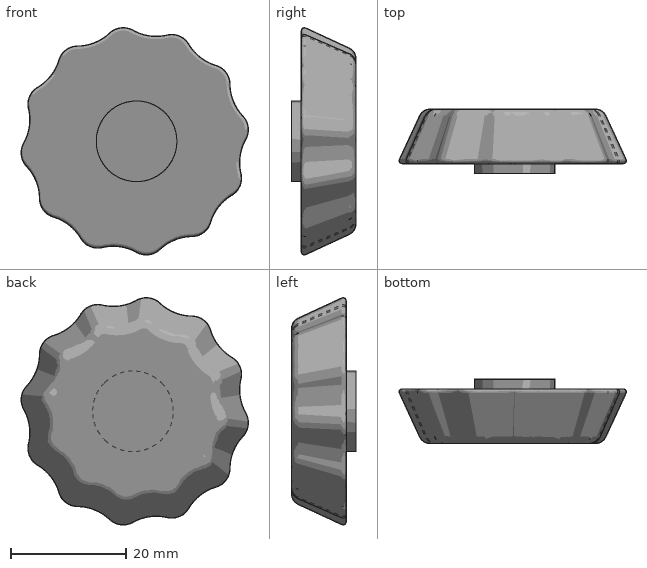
import cadquery as cq
import math

lobe_count = 12
first_lobe_angle = 7.0
tip_radius = 20.15
valley_radius = 18.75
flute_radius = 8.4
body_height = 9.5
taper_angle = 25.0
front_edge_radius = 0.55
back_edge_radius = 1.97
boss_diameter = 14.0
boss_height = 1.7
boss_offset = 0.3

half_pitch = math.pi / lobe_count
flute_center = valley_radius + flute_radius
flute_center_along_lobe = flute_center * math.cos(half_pitch)
lobe_radius = (
    tip_radius**2 + flute_center**2 - flute_radius**2 - 2 * tip_radius * flute_center_along_lobe
) / (2 * (tip_radius + flute_radius - flute_center_along_lobe))
lobe_center = tip_radius - lobe_radius

lobe_share = lobe_radius / (lobe_radius + flute_radius)
tangent_along = lobe_center + lobe_share * (flute_center_along_lobe - lobe_center)
tangent_across = lobe_share * flute_center * math.sin(half_pitch)
tangent_radius = math.hypot(tangent_along, tangent_across)
tangent_angle = math.atan2(tangent_across, tangent_along)

back_scale = 1 - body_height * math.tan(math.radians(taper_angle)) / tip_radius


def polar(radius, angle):
    return (radius * math.cos(angle), radius * math.sin(angle))


def fluted_outline(depth, scale):
    """Closed outline of alternating lobe and flute arcs at Y = depth."""
    start = math.radians(first_lobe_angle)
    outline = cq.Workplane("XZ", origin=(0, depth, 0))
    outline = outline.moveTo(*polar(scale * tangent_radius, start - tangent_angle))
    for index in range(lobe_count):
        lobe = start + index * 2 * half_pitch
        valley = lobe + half_pitch
        next_lobe = valley + half_pitch
        outline = outline.threePointArc(
            polar(scale * tip_radius, lobe),
            polar(scale * tangent_radius, lobe + tangent_angle),
        )
        outline = outline.threePointArc(
            polar(scale * valley_radius, valley),
            polar(scale * tangent_radius, next_lobe - tangent_angle),
        )
    return outline.close().val()


front_outline = fluted_outline(0, 1)
back_outline = fluted_outline(body_height, back_scale)
body = cq.Workplane(cq.Solid.makeLoft([front_outline, back_outline], True))
body = body.faces(">Y").edges().fillet(back_edge_radius)
body = body.faces("<Y").edges().fillet(front_edge_radius)

boss = (
    cq.Workplane("XZ")
    .center(boss_offset, 0)
    .circle(boss_diameter / 2)
    .extrude(boss_height)
)

result = body.union(boss)